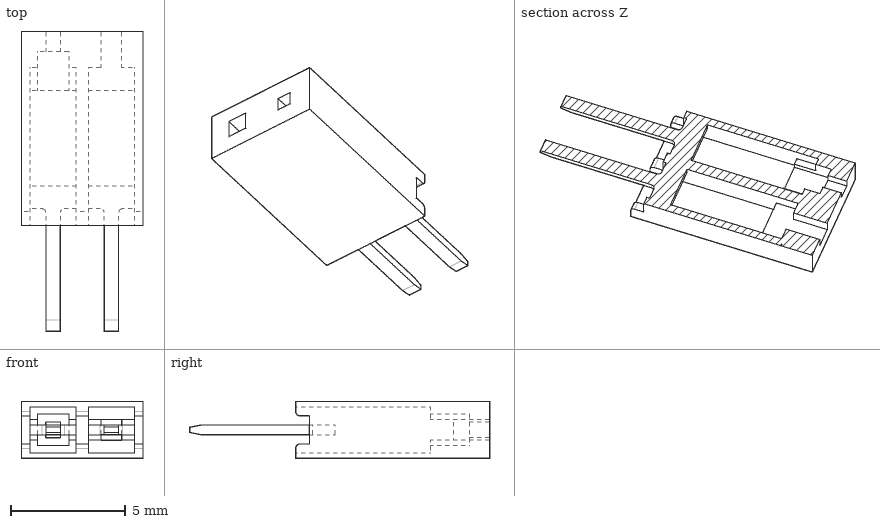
import cadquery as cq

overall_length = 13.13
body_length = 8.5
body_width = 5.33
body_height = 2.5
pitch = 2.55

notch_depth = 0.6
notch_height = 1.22
notch_edge_radius = 0.2

chamber_size = 2.01
chamber_depth = 5.91
slot_height = 0.9
slot_depth = 1.0
square_hole_size = 0.9
recess_size = 1.38
recess_depth = 1.71
window_width = 0.64
window_height = 0.67

pin_width = 0.64
contact_thickness = 0.43
pin_length = overall_length - body_length
taper_length = 0.5
tip_thickness = 0.24
blade_length = 1.0
root_radius = 0.17
root_lead = 0.04
root_front = notch_depth - root_lead
blade_front = root_front + root_radius

left_x = -pitch / 2
right_x = pitch / 2
slot_floor = chamber_depth + slot_depth


def block(x, width, height, y_start, y_end):
    """Box centred on (x, Z = 0), running from y_start to y_end."""
    centre = (x, (y_start + y_end) / 2, 0)
    return cq.Workplane("XY").box(width, y_end - y_start, height).translate(centre)


def make_notch():
    """Full-width notch whose two front lips are rounded over."""
    half = notch_height / 2
    flare = half + notch_edge_radius
    profile = (
        cq.Workplane("YZ")
        .moveTo(0, -flare)
        .radiusArc((notch_edge_radius, -half), notch_edge_radius)
        .lineTo(notch_depth, -half)
        .lineTo(notch_depth, half)
        .lineTo(notch_edge_radius, half)
        .radiusArc((0, flare), notch_edge_radius)
        .close()
    )
    return profile.extrude(body_width / 2, both=True)


def make_chamber(x):
    """Square chamber open at the front, with a full-width slot in its floor."""
    chamber = block(x, chamber_size, chamber_size, 0, chamber_depth)
    return chamber.union(block(x, chamber_size, slot_height, chamber_depth, slot_floor))


def make_contact(x):
    """Blade and pin in one flat outline, with the pin end tapered in thickness."""
    half_pin = pin_width / 2
    half_blade = chamber_size / 2
    blade_back = blade_front + blade_length
    outline = (
        cq.Workplane("XY")
        .moveTo(-half_pin, -pin_length)
        .lineTo(half_pin, -pin_length)
        .lineTo(half_pin, root_front)
        .radiusArc((half_pin + root_radius, blade_front), root_radius)
        .lineTo(half_blade, blade_front)
        .lineTo(half_blade, blade_back)
        .lineTo(-half_blade, blade_back)
        .lineTo(-half_blade, blade_front)
        .lineTo(-half_pin - root_radius, blade_front)
        .radiusArc((-half_pin, root_front), root_radius)
        .close()
        .extrude(contact_thickness / 2, both=True)
    )
    taper_start = -pin_length + taper_length
    side_profile = (
        cq.Workplane("YZ")
        .moveTo(-pin_length, -tip_thickness / 2)
        .lineTo(taper_start, -contact_thickness / 2)
        .lineTo(blade_back, -contact_thickness / 2)
        .lineTo(blade_back, contact_thickness / 2)
        .lineTo(taper_start, contact_thickness / 2)
        .lineTo(-pin_length, tip_thickness / 2)
        .close()
        .extrude(half_blade, both=True)
    )
    return outline.intersect(side_profile).translate((x, 0, 0))


housing = block(0, body_width, body_height, 0, body_length).cut(make_notch())
for chamber_x in (left_x, right_x):
    housing = housing.cut(make_chamber(chamber_x))

recess_floor = chamber_depth + recess_depth
housing = housing.cut(block(left_x, recess_size, recess_size, chamber_depth, recess_floor))
housing = housing.cut(block(left_x, window_width, window_height, recess_floor, body_length))

housing = housing.cut(block(right_x, square_hole_size, square_hole_size, slot_floor, body_length))

result = housing.union(make_contact(left_x)).union(make_contact(right_x))